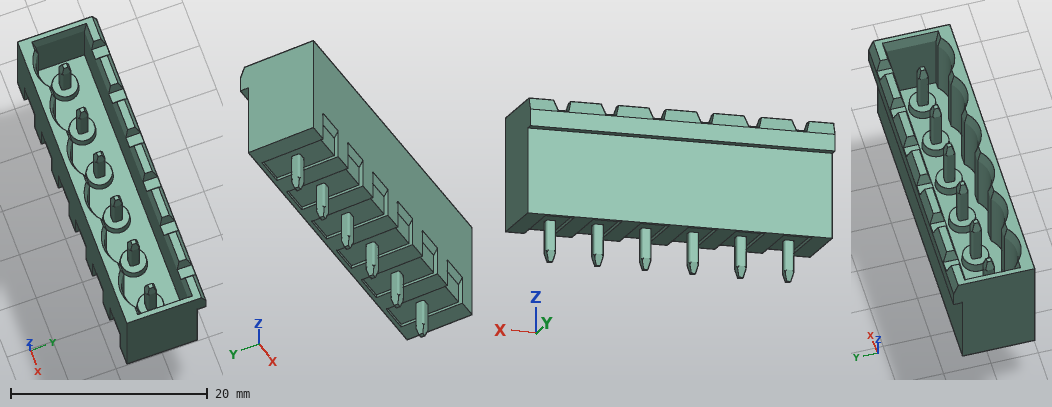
import cadquery as cq
import math

PIN_COUNT = 6
PIN_SPAN = 25.4
PITCH = PIN_SPAN / (PIN_COUNT - 1)
PIN_Y = 3.85
PIN_X = [i * PITCH - PIN_SPAN / 2 for i in range(PIN_COUNT)]

PIN_WIDTH = 1.05
PIN_CORNER = 0.23
PIN_BOTTOM = -3.9
PIN_TOP = 10.4
TIP_LENGTH = 1.1
TIP_WIDTH = 0.45

LENGTH = 32.48
HEIGHT = 12.02
BODY_DEPTH = 7.63
LIP_DEPTH = 8.57
LIP_HEIGHT = 3.05
LIP_CHAMFER = 0.5
LIP_SLOPE_HEIGHT = 1.3
RIM_HEIGHT = 1.17

RIM_SLOPE = 0.32
SIDE_RIM = 0.52
REAR_RIM = 0.8
FRONT_RIM = 1.35
SCALLOP_RADIUS = 3.28
CAVITY_FLOOR = 3.9
BOSS_BASE_RADIUS = 1.43
BOSS_TOP_RADIUS = 1.33
BOSS_HEIGHT = 0.97

NOTCH_BOTTOM_WIDTH = 1.15
NOTCH_TOP_WIDTH = 1.85

WINDOW_WIDTH = 3.05
WINDOW_HEIGHT = 3.55
WINDOW_DEPTH = 0.45
WINDOW_SLOPE_HEIGHT = 0.78
CHANNEL_HEIGHT = 0.35
CHANNEL_END = BODY_DEPTH - WINDOW_DEPTH


def rounded_bar(z_bottom, z_top):
    """Square bar with rounded long edges, centred on the Z axis."""
    return (
        cq.Workplane("XY", origin=(0, 0, z_bottom))
        .rect(PIN_WIDTH, PIN_WIDTH)
        .extrude(z_top - z_bottom)
        .edges("|Z")
        .fillet(PIN_CORNER)
    )


def tip_envelope(z_wide, z_end, end_width):
    """Four-sided frustum that narrows from the pin width to the tip width."""
    return (
        cq.Workplane("XY", origin=(0, 0, z_wide))
        .rect(PIN_WIDTH, PIN_WIDTH)
        .workplane(offset=z_end - z_wide)
        .rect(end_width, end_width)
        .loft(ruled=True)
    )


def make_pin(x):
    shank_bottom = PIN_BOTTOM + TIP_LENGTH
    shank_top = PIN_TOP - TIP_LENGTH
    shank = rounded_bar(shank_bottom, shank_top)
    bottom_tip = rounded_bar(PIN_BOTTOM, shank_bottom).intersect(
        tip_envelope(shank_bottom, PIN_BOTTOM, TIP_WIDTH)
    )
    top_tip = rounded_bar(shank_top, PIN_TOP).intersect(
        tip_envelope(shank_top, PIN_TOP, TIP_WIDTH)
    )
    return shank.union(bottom_tip).union(top_tip).translate((x, PIN_Y, 0))


def housing_block():
    """Side profile with the overhanging rear lip, extruded along X."""
    profile = [
        (0, 0),
        (BODY_DEPTH, 0),
        (BODY_DEPTH, HEIGHT - LIP_HEIGHT),
        (LIP_DEPTH, HEIGHT - LIP_HEIGHT),
        (LIP_DEPTH, HEIGHT - LIP_SLOPE_HEIGHT),
        (LIP_DEPTH - LIP_CHAMFER, HEIGHT),
        (0, HEIGHT),
    ]
    return cq.Workplane("YZ").polyline(profile).close().extrude(LENGTH / 2, both=True)


def draw_cavity(plane, inset):
    """Rectangle with a scalloped front edge, moved inward by inset."""
    half_length = LENGTH / 2 - SIDE_RIM - inset
    front = FRONT_RIM + inset
    rear = LIP_DEPTH - LIP_CHAMFER - REAR_RIM - inset
    radius = SCALLOP_RADIUS - inset
    half_chord = math.sqrt(radius**2 - (PIN_Y - front) ** 2)

    outline = plane.moveTo(-half_length, rear).lineTo(-half_length, front)
    for x in PIN_X:
        outline = outline.lineTo(x - half_chord, front)
        outline = outline.threePointArc((x, PIN_Y - radius), (x + half_chord, front))
    return outline.lineTo(half_length, front).lineTo(half_length, rear).close()


def cavity():
    rim_bottom = HEIGHT - RIM_HEIGHT
    mouth = draw_cavity(cq.Workplane("XY", origin=(0, 0, rim_bottom)), RIM_SLOPE)
    mouth = draw_cavity(mouth.workplane(offset=RIM_HEIGHT, origin=(0, 0, rim_bottom)), 0)
    mouth = mouth.loft(ruled=True)
    well = draw_cavity(cq.Workplane("XY", origin=(0, 0, CAVITY_FLOOR)), RIM_SLOPE)
    return mouth.union(well.extrude(rim_bottom - CAVITY_FLOOR))


def boss(x):
    """Tapered seat around a pin on the cavity floor."""
    return (
        cq.Workplane("XY", origin=(x, PIN_Y, CAVITY_FLOOR))
        .circle(BOSS_BASE_RADIUS)
        .workplane(offset=BOSS_HEIGHT)
        .circle(BOSS_TOP_RADIUS)
        .loft()
    )


def notch(x):
    """Trapezoidal gap that runs from the cavity out through the rear lip."""
    section = [
        (x - NOTCH_BOTTOM_WIDTH / 2, HEIGHT - RIM_HEIGHT),
        (x + NOTCH_BOTTOM_WIDTH / 2, HEIGHT - RIM_HEIGHT),
        (x + NOTCH_TOP_WIDTH / 2, HEIGHT),
        (x - NOTCH_TOP_WIDTH / 2, HEIGHT),
    ]
    return (
        cq.Workplane("XZ", origin=(0, LIP_DEPTH, 0))
        .polyline(section)
        .close()
        .extrude(LIP_DEPTH - PIN_Y)
    )


def window(x):
    """Shallow front recess with a sloped ceiling, joined to a bottom channel."""
    profile = [
        (0, 0),
        (CHANNEL_END, 0),
        (CHANNEL_END, CHANNEL_HEIGHT),
        (WINDOW_DEPTH, CHANNEL_HEIGHT),
        (WINDOW_DEPTH, WINDOW_HEIGHT - WINDOW_SLOPE_HEIGHT),
        (0, WINDOW_HEIGHT),
    ]
    return (
        cq.Workplane("YZ", origin=(x, 0, 0))
        .polyline(profile)
        .close()
        .extrude(WINDOW_WIDTH / 2, both=True)
    )


def make_housing():
    body = housing_block().cut(cavity())
    for x in PIN_X:
        body = body.union(boss(x)).cut(notch(x)).cut(window(x))
        body = body.cut(rounded_bar(0, HEIGHT).translate((x, PIN_Y, 0)))
    return body


housing = make_housing()
pins = [make_pin(x) for x in PIN_X]
result = cq.Compound.makeCompound([housing.val(), *[pin.val() for pin in pins]])